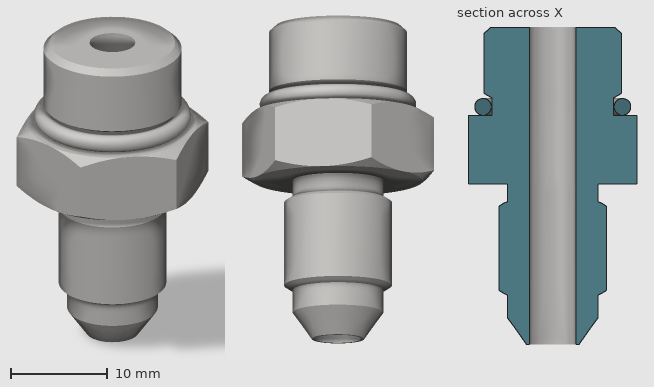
import cadquery as cq
import math

TOTAL_HEIGHT = 32.77
BORE_RADIUS = 2.35

HEX_ACROSS_FLATS = 17.47
HEX_ACROSS_CORNERS = HEX_ACROSS_FLATS / math.cos(math.radians(30))
HEX_BOTTOM_Z = 16.58
HEX_HEIGHT = 7.1
HEX_TOP_Z = HEX_BOTTOM_Z + HEX_HEIGHT
HEX_CHAMFER_ANGLE = 30.0

RING_SECTION_RADIUS = 0.9
UNDERCUT_RADIUS = 6.32
RING_CENTRE_RADIUS = UNDERCUT_RADIUS + RING_SECTION_RADIUS
RING_CENTRE_Z = HEX_TOP_Z + RING_SECTION_RADIUS

STUD_RADIUS = 7.15
STUD_TOP_RADIUS = 6.45
STUD_TOP_CHAMFER_HEIGHT = 0.62
STUD_BOTTOM_Z = 25.95
UNDERCUT_TOP_Z = 25.5

NECK_RADIUS = 4.7
COLLAR_RADIUS = 5.57
COLLAR_TOP_Z = 14.8
COLLAR_CHAMFER_HEIGHT = 0.5
SHOULDER_BREAK_RADIUS = 5.1
SHOULDER_BREAK_DEPTH = 0.2
COLLAR_BOTTOM_Z = 5.1
NOSE_HEIGHT = 2.75
NOSE_TIP_RADIUS = 2.72


def make_turned_core():
    """Revolved stud, undercut and shank, solid along the axis."""
    profile = [
        (0, 0),
        (NOSE_TIP_RADIUS, 0),
        (NECK_RADIUS, NOSE_HEIGHT),
        (NECK_RADIUS, COLLAR_BOTTOM_Z),
        (SHOULDER_BREAK_RADIUS, COLLAR_BOTTOM_Z + SHOULDER_BREAK_DEPTH),
        (COLLAR_RADIUS, COLLAR_BOTTOM_Z + COLLAR_CHAMFER_HEIGHT),
        (COLLAR_RADIUS, COLLAR_TOP_Z - COLLAR_CHAMFER_HEIGHT),
        (SHOULDER_BREAK_RADIUS, COLLAR_TOP_Z - SHOULDER_BREAK_DEPTH),
        (NECK_RADIUS, COLLAR_TOP_Z),
        (NECK_RADIUS, HEX_BOTTOM_Z),
        (UNDERCUT_RADIUS, HEX_BOTTOM_Z),
        (UNDERCUT_RADIUS, UNDERCUT_TOP_Z),
        (STUD_RADIUS, STUD_BOTTOM_Z),
        (STUD_RADIUS, TOTAL_HEIGHT - STUD_TOP_CHAMFER_HEIGHT),
        (STUD_TOP_RADIUS, TOTAL_HEIGHT),
        (0, TOTAL_HEIGHT),
    ]
    return cq.Workplane("XZ").polyline(profile).close().revolve(360, (0, 0), (0, 1))


def make_hexagon():
    """Hexagon with its corners along X, chamfered conically at both ends."""
    flat_radius = HEX_ACROSS_FLATS / 2
    corner_radius = HEX_ACROSS_CORNERS / 2
    chamfer_height = (corner_radius - flat_radius) * math.tan(math.radians(HEX_CHAMFER_ANGLE))
    envelope_profile = [
        (0, HEX_BOTTOM_Z),
        (flat_radius, HEX_BOTTOM_Z),
        (corner_radius, HEX_BOTTOM_Z + chamfer_height),
        (corner_radius, HEX_TOP_Z - chamfer_height),
        (flat_radius, HEX_TOP_Z),
        (0, HEX_TOP_Z),
    ]
    envelope = cq.Workplane("XZ").polyline(envelope_profile).close().revolve(360, (0, 0), (0, 1))
    prism = (
        cq.Workplane("XY", origin=(0, 0, HEX_BOTTOM_Z))
        .polygon(6, HEX_ACROSS_CORNERS)
        .extrude(HEX_HEIGHT)
    )
    return prism.intersect(envelope)


def make_fitting():
    """Hexagon and turned core in one piece, with the bore right through."""
    bore = cq.Workplane("XY").circle(BORE_RADIUS).extrude(TOTAL_HEIGHT)
    return make_turned_core().union(make_hexagon()).cut(bore)


def make_sealing_ring():
    """Ring of round section around the undercut."""
    return (
        cq.Workplane("XZ")
        .center(RING_CENTRE_RADIUS, RING_CENTRE_Z)
        .circle(RING_SECTION_RADIUS)
        .revolve(360, (-RING_CENTRE_RADIUS, 0), (-RING_CENTRE_RADIUS, 1))
    )


fitting = make_fitting()
sealing_ring = make_sealing_ring()
result = cq.Compound.makeCompound([fitting.val(), sealing_ring.val()])